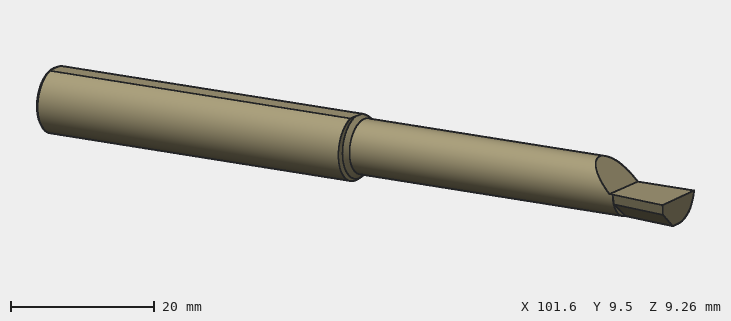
import cadquery as cq
import math

total_length = 101.6

shank_diameter = 9.5
shank_radius = shank_diameter / 2
shank_length = 49.3
flat_width = 3.0
flat_height = math.sqrt(shank_radius**2 - (flat_width / 2) ** 2)
rear_chamfer = 0.4

neck_radius = 4.0
neck_offset = 1.0
neck_front = neck_offset - neck_radius
shoulder_chamfer = 0.7

head_start = 92.8
slope_end = 92.3
slope_start = slope_end - neck_radius
tip_y = -4.2
land_height = 1.5
land_setback = 0.4
relief_setback = 3.6
end_drop_x = 0.4
end_side_x = 0.2


def cylinder_x(radius, start, end, center_y=0.0):
    return cq.Workplane("YZ", origin=(start, center_y, 0)).circle(radius).extrude(end - start)


def make_shank():
    shank = cylinder_x(shank_radius, 0, shank_length).faces("<X").chamfer(rear_chamfer)
    above_flat = (
        cq.Workplane("XY", origin=(0, 0, flat_height))
        .rect(2 * shank_length, shank_diameter)
        .extrude(shank_radius)
    )
    return shank.cut(above_flat)


def make_shoulder():
    """Cone about the neck axis, kept inside the flatted shank's section."""
    cone = cq.Workplane(
        cq.Solid.makeCone(
            neck_radius + shoulder_chamfer,
            neck_radius,
            shoulder_chamfer,
            pnt=cq.Vector(shank_length, neck_offset, 0),
            dir=cq.Vector(1, 0, 0),
        )
    )
    envelope = cylinder_x(shank_radius, shank_length, shank_length + shoulder_chamfer)
    below_flat = (
        cq.Workplane("XY", origin=(shank_length, 0, flat_height))
        .rect(2 * shank_length, shank_diameter)
        .extrude(-shank_diameter)
    )
    return cone.intersect(envelope).intersect(below_flat)


def make_neck():
    """Neck bar to the full length, ramped down to the rake face and cleared ahead of the head."""
    bar = cylinder_x(neck_radius, shank_length, total_length, neck_offset)
    bar = bar.intersect(cylinder_x(shank_radius, shank_length, total_length))
    ramp_cut = (
        cq.Workplane("XZ")
        .moveTo(slope_start, neck_radius)
        .lineTo(slope_end, 0)
        .lineTo(total_length, 0)
        .lineTo(total_length, neck_radius)
        .close()
        .extrude(shank_diameter, both=True)
    )
    front_clearance = cq.Workplane("XY").box(
        total_length - head_start, shank_diameter, shank_diameter, centered=(False, False, True)
    ).translate((head_start, neck_offset - shank_diameter, 0))
    return bar.cut(ramp_cut).cut(front_clearance)


def head_section(front_y):
    """Front half of the head: a steep land above a sloping relief face."""
    return [
        (neck_offset, 0),
        (front_y, 0),
        (front_y + land_setback, -land_height),
        (front_y + relief_setback, -neck_radius),
        (neck_offset, -neck_radius),
    ]


def make_flared_front():
    return (
        cq.Workplane("YZ", origin=(head_start, 0, 0))
        .polyline(head_section(neck_front))
        .close()
        .workplane(offset=total_length - head_start)
        .polyline(head_section(tip_y))
        .close()
        .loft(ruled=True, combine=True)
    )


def make_end_relief():
    """Block beyond the end face, which leans back from the cutting tip."""
    lean_y = end_side_x / (shank_radius - tip_y)
    lean_z = end_drop_x / neck_radius
    end_plane = cq.Plane(
        origin=(total_length, tip_y, 0), xDir=(0, 0, 1), normal=(1, lean_y, -lean_z)
    )
    return cq.Workplane(end_plane).rect(4 * shank_diameter, 4 * shank_diameter).extrude(shank_diameter)


result = make_shank().union(make_shoulder()).union(make_neck()).union(make_flared_front())
result = result.cut(make_end_relief())